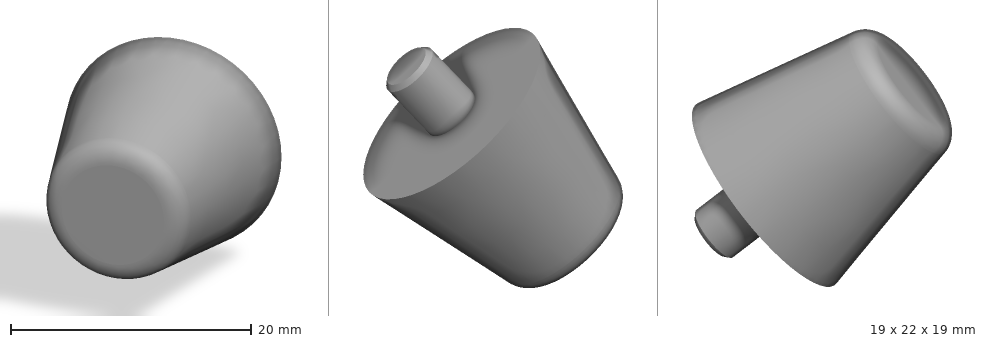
import cadquery as cq

overall_length = 22.0
stud_length = 6.0
bumper_length = overall_length - stud_length
base_diameter = 19.0
nose_diameter = 12.01
nose_rounding = 1.9

stud_diameter = 5.0
stud_chamfer = 0.42


def make_bumper():
    """Tapered bumper pointing toward -Y, with a rounded nose."""
    cone = (
        cq.Workplane("XY")
        .lineTo(base_diameter / 2, 0)
        .lineTo(nose_diameter / 2, -bumper_length)
        .lineTo(0, -bumper_length)
        .close()
        .revolve(360, (0, 0, 0), (0, 1, 0))
    )
    return cone.faces("<Y").edges().fillet(nose_rounding)


def make_stud():
    """Pin pointing toward +Y, with a chamfered free end."""
    pin = cq.Workplane("XZ").circle(stud_diameter / 2).extrude(-stud_length)
    return pin.faces(">Y").edges().chamfer(stud_chamfer)


bumper = make_bumper()
stud = make_stud()

result = cq.Compound.makeCompound([bumper.val(), stud.val()])